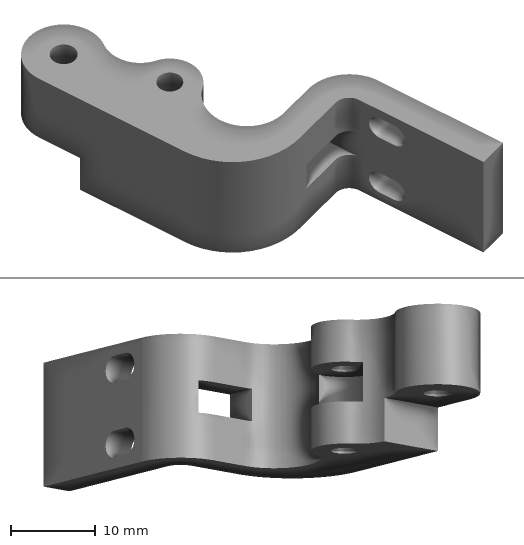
import cadquery as cq
import math

length = 56.0
depth = 23.0
height = 15.0
mid_height = height / 2

wall = 4.0
leg_left = 32.0
leg_right = leg_left + wall
arm_front = depth - wall
inner_bend_radius = 2.0
outer_bend_radius = inner_bend_radius + wall
heel_radius = 9.8

end_radius = 5.05
end_center = (end_radius, end_radius)
end_hole_diameter = 3.3
pivot_radius = 4.0
pivot_center = (18.0, 8.5)
pivot_hole_diameter = 3.2

saddle_radius = 4.55
hollow_radius = 5.4

relief_length = 11.0
relief_height = 5.25

knuckle_height = 4.8
knuckle_radius = 4.5

window_start = 11.15
window_height = 3.9

slot_length = 5.25
slot_width = 3.25
slot_center_x = 42.0
slot_spacing = 9.1


def point_toward(start, target, distance):
    """Point at a given distance from start along the line to target."""
    span = math.dist(start, target)
    return tuple(a + (b - a) * distance / span for a, b in zip(start, target))


def bend_middle(center, radius, x_side, y_side):
    """Middle point of a quarter circle lying in the given quadrant."""
    offset = radius * math.sqrt(0.5)
    return (center[0] + x_side * offset, center[1] + y_side * offset)


lobe_span = math.dist(end_center, pivot_center)
end_reach = end_radius + saddle_radius
pivot_reach = pivot_radius + saddle_radius
lobe_angle = math.atan2(pivot_center[1] - end_center[1], pivot_center[0] - end_center[0])
apex_angle = math.acos((end_reach**2 + lobe_span**2 - pivot_reach**2) / (2 * end_reach * lobe_span))
saddle_direction = lobe_angle + apex_angle
saddle_center = (
    end_center[0] + end_reach * math.cos(saddle_direction),
    end_center[1] + end_reach * math.sin(saddle_direction),
)

hollow_x = leg_left - hollow_radius
hollow_rise = math.sqrt((pivot_radius + hollow_radius) ** 2 - (hollow_x - pivot_center[0]) ** 2)
hollow_center = (hollow_x, pivot_center[1] + hollow_rise)


def make_body():
    heel_center = (leg_right - heel_radius, heel_radius)
    bend_center = (leg_right + inner_bend_radius, arm_front - inner_bend_radius)
    hollow_bottom = (hollow_center[0], hollow_center[1] - hollow_radius)
    saddle_bottom = (saddle_center[0], saddle_center[1] - saddle_radius)
    pivot_top = (pivot_center[0], pivot_center[1] + pivot_radius)
    return (
        cq.Workplane("XY")
        .moveTo(end_center[0], 0)
        .lineTo(heel_center[0], 0)
        .threePointArc(bend_middle(heel_center, heel_radius, 1, -1), (leg_right, heel_center[1]))
        .lineTo(leg_right, bend_center[1])
        .threePointArc(bend_middle(bend_center, inner_bend_radius, -1, 1), (bend_center[0], arm_front))
        .lineTo(length, arm_front)
        .lineTo(length, depth)
        .lineTo(bend_center[0], depth)
        .threePointArc(bend_middle(bend_center, outer_bend_radius, -1, 1), (leg_left, bend_center[1]))
        .lineTo(leg_left, hollow_center[1])
        .threePointArc(hollow_bottom, point_toward(pivot_center, hollow_center, pivot_radius))
        .threePointArc(pivot_top, point_toward(pivot_center, saddle_center, pivot_radius))
        .threePointArc(saddle_bottom, point_toward(end_center, saddle_center, end_radius))
        .threePointArc((0, end_center[1]), (end_center[0], 0))
        .close()
        .extrude(height)
    )


def make_pin_hole(center, diameter):
    return cq.Workplane("XY").center(*center).circle(diameter / 2).extrude(height)


def make_relief():
    return cq.Workplane("XY").box(relief_length, depth, relief_height, centered=False)


def make_knuckle_slot():
    bottom = mid_height - knuckle_height / 2
    return (
        cq.Workplane("XY", origin=(0, 0, bottom))
        .center(*pivot_center)
        .circle(knuckle_radius)
        .extrude(knuckle_height)
    )


def make_window():
    window_end = leg_right + inner_bend_radius
    return (
        cq.Workplane("XY", origin=(hollow_center[0], window_start, mid_height - window_height / 2))
        .box(window_end - hollow_center[0], arm_front - window_start, window_height, centered=False)
    )


def make_mounting_slots():
    return (
        cq.Workplane("XZ", origin=(slot_center_x, depth, mid_height))
        .rarray(0.55, slot_spacing, 1, 2)
        .slot2D(slot_length, slot_width)
        .extrude(wall)
    )


result = (
    make_body()
    .cut(make_pin_hole(end_center, end_hole_diameter))
    .cut(make_pin_hole(pivot_center, pivot_hole_diameter))
    .cut(make_relief())
    .cut(make_knuckle_slot())
    .cut(make_window())
    .cut(make_mounting_slots())
)